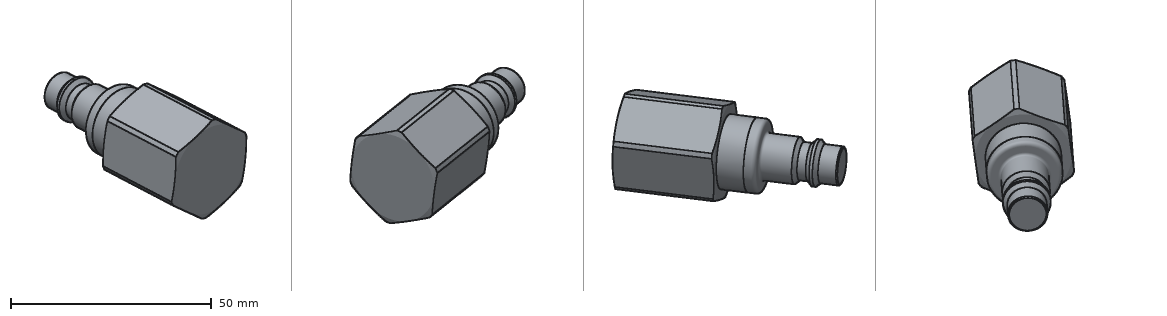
import cadquery as cq
import math

length = 56.0
x_tip = -length / 2

tip_diameter = 9.9
neck_diameter = 9.75
plug_diameter = 12.0
tip_chamfer = 0.35

collar_start = 4.9
collar_crest_start = 6.1
collar_crest_end = 6.95
neck_start = 8.1
neck_end = 10.35
plug_start = 11.5

shoulder_start = 19.9
shoulder_step = 22.95
nose_diameter = 18.9
shoulder_diameter = 19.0
shoulder_round = 1.0
root_fillet = 0.7

hex_start = 29.9
across_flats = 24.0
across_corners = 27.0
hex_tilt = 7.0
end_chamfer_angle = 15.0


def make_plug():
    """Revolved plug and shoulder, running up to the hexagon."""
    tip_radius = tip_diameter / 2
    neck_radius = neck_diameter / 2
    plug_radius = plug_diameter / 2
    nose_radius = nose_diameter / 2
    shoulder_radius = shoulder_diameter / 2
    arc_offset = 1 - math.sqrt(0.5)
    return (
        cq.Workplane("XY")
        .moveTo(0, 0)
        .lineTo(0, tip_radius - tip_chamfer)
        .lineTo(tip_chamfer, tip_radius)
        .lineTo(collar_start, tip_radius)
        .lineTo(collar_crest_start, plug_radius)
        .lineTo(collar_crest_end, plug_radius)
        .lineTo(neck_start, neck_radius)
        .lineTo(neck_end, neck_radius)
        .lineTo(plug_start, plug_radius)
        .lineTo(shoulder_start - root_fillet, plug_radius)
        .threePointArc(
            (shoulder_start - arc_offset * root_fillet, plug_radius + arc_offset * root_fillet),
            (shoulder_start, plug_radius + root_fillet),
        )
        .lineTo(shoulder_start, nose_radius - shoulder_round)
        .threePointArc(
            (shoulder_start + arc_offset * shoulder_round, nose_radius - arc_offset * shoulder_round),
            (shoulder_start + shoulder_round, nose_radius),
        )
        .lineTo(shoulder_step, nose_radius)
        .lineTo(shoulder_step, shoulder_radius)
        .lineTo(hex_start, shoulder_radius)
        .lineTo(hex_start, 0)
        .close()
        .revolve(360, (0, 0, 0), (1, 0, 0))
    )


def make_hexagon():
    """Hexagonal prism with rounded corners and conical end chamfers."""
    vertex_diameter = across_flats / math.cos(math.radians(30))
    prism = (
        cq.Workplane("YZ", origin=(hex_start, 0, 0))
        .transformed(rotate=(0, 0, 90 - hex_tilt))
        .polygon(6, vertex_diameter)
        .extrude(length - hex_start)
    )
    face_radius = across_flats / 2
    corner_radius = across_corners / 2
    chamfer_depth = (corner_radius - face_radius) * math.tan(math.radians(end_chamfer_angle))
    envelope = (
        cq.Workplane("XY")
        .moveTo(hex_start, 0)
        .lineTo(hex_start, face_radius)
        .lineTo(hex_start + chamfer_depth, corner_radius)
        .lineTo(length - chamfer_depth, corner_radius)
        .lineTo(length, face_radius)
        .lineTo(length, 0)
        .close()
        .revolve(360, (0, 0, 0), (1, 0, 0))
    )
    return prism.intersect(envelope)


result = make_plug().union(make_hexagon()).translate((x_tip, 0, 0))